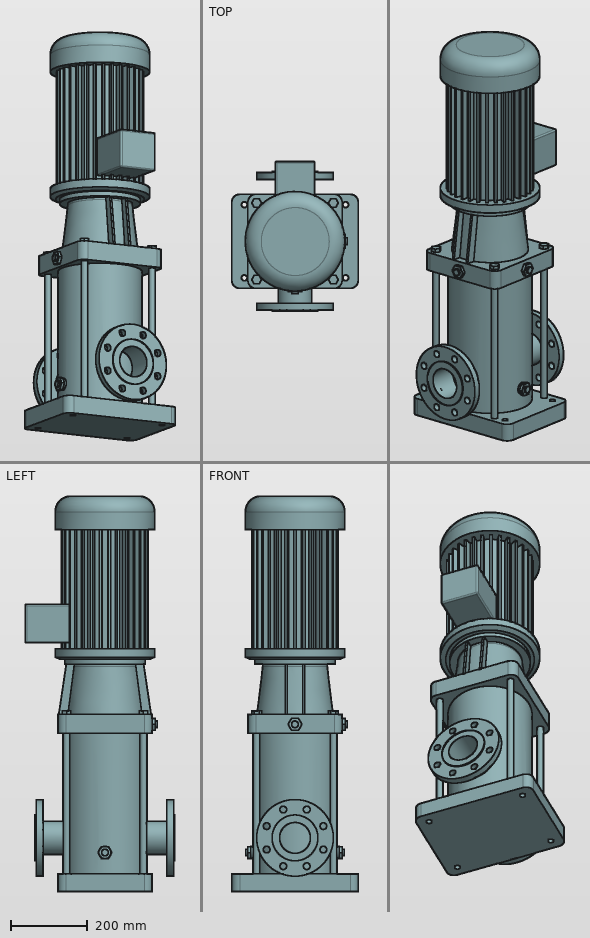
import cadquery as cq

total_height = 1031.0
base_height = 46.0
head_bottom = 412.0
head_top = 462.0
lantern_top = 593.0
motor_flange_bottom = 605.0
motor_flange_bevel_top = 611.0
motor_flange_top = 633.0
cap_bottom = 943.0

base_length = 330.0
plate_width = 245.0
plate_corner_radius = 21.0
base_hole_diameter = 14.0
base_hole_spacing_x = 264.0
base_hole_spacing_y = 191.0

hexagon_sides = 6
tube_diameter = 220.0
tie_rod_diameter = 18.0
tie_rod_spacing = 200.0
bolt_head_corners = 26.0
bolt_head_height = 9.0

port_height = 140.0
port_reach = 182.0
pipe_diameter = 88.0
bore_diameter = 80.0
flange_diameter = 200.0
flange_thickness = 19.0
raised_face_diameter = 120.0
raised_face_height = 3.0
flange_hole_count = 8
flange_hole_diameter = 18.0
flange_hole_circle = 160.0

plug_corners = 36.0
plug_hex_length = 8.8
plug_tip_diameter = 18.0
plug_tip_length = 5.0
plug_neck_diameter = 32.0
plug_neck_length = 5.0
plug_root_depth = 10.0
drain_plug_height = 102.0
vent_plug_height = 436.0

lantern_bottom_radius = 100.0
lantern_top_radius = 85.0
lantern_collar_height = 5.0
lantern_rib_thickness = 5.7
lantern_rib_offset = 23.2
lantern_rib_bottom_reach = 121.0
lantern_rib_top_reach = 101.0
spigot_diameter = 210.0

motor_flange_diameter = 260.0
motor_flange_bevel = 14.0
motor_core_radius = 96.0
fin_tip_radius = 113.0
fin_thickness = 6.0
fin_count = 30
cap_edge_radius = 41.0

box_width = 103.0
box_bottom = 648.0
box_height = 101.0
box_reach = 208.0
box_edge_radius = 4.0


def cylinder(diameter, bottom, top):
    return cq.Workplane("XY").workplane(offset=bottom).circle(diameter / 2).extrude(top - bottom)


def rounded_plate(length, bottom, top):
    plate = cq.Workplane("XY").workplane(offset=bottom).rect(length, plate_width).extrude(top - bottom)
    return plate.edges("|Z").fillet(plate_corner_radius)


def make_base():
    base = rounded_plate(base_length, 0, base_height)
    holes = (
        cq.Workplane("XY")
        .rect(base_hole_spacing_x, base_hole_spacing_y, forConstruction=True)
        .vertices()
        .circle(base_hole_diameter / 2)
        .extrude(base_height)
    )
    return base.cut(holes)


def make_tie_rods():
    def corners(height):
        plane = cq.Workplane("XY").workplane(offset=height)
        return plane.rect(tie_rod_spacing, tie_rod_spacing, forConstruction=True).vertices()

    rods = corners(base_height).circle(tie_rod_diameter / 2).extrude(head_bottom - base_height)
    bolt_heads = corners(head_top).polygon(hexagon_sides, bolt_head_corners).extrude(bolt_head_height)
    return rods.union(bolt_heads)


def make_port():
    """Port on the -Y side: a pipe from the pump axis with a drilled flange and a raised face."""

    def disc(diameter, reach, length):
        plane = cq.Workplane("XZ", origin=(0, -reach, port_height))
        return plane.circle(diameter / 2).extrude(-length)

    flange_reach = port_reach - raised_face_height
    hole_pattern = (
        cq.Workplane("XZ", origin=(0, -flange_reach, port_height))
        .polarArray(flange_hole_circle / 2, 180 / flange_hole_count, 360, flange_hole_count)
        .circle(flange_hole_diameter / 2)
        .extrude(-flange_thickness)
    )
    port = disc(pipe_diameter, port_reach, port_reach)
    port = port.union(disc(flange_diameter, flange_reach, flange_thickness).cut(hole_pattern))
    port = port.union(disc(raised_face_diameter, port_reach, raised_face_height))
    return port.cut(disc(bore_diameter, port_reach, port_reach))


def make_plug(seat, height, angle):
    """Plug pointing along +X with its hexagon starting at x = seat, then turned about Z.

    Its round neck reaches back from the hexagon and ends inside the body that carries it.
    """
    def face(x):
        return cq.Workplane("YZ", origin=(x, 0, height))

    hex_end = seat + plug_hex_length
    plug = face(seat - plug_root_depth).circle(plug_neck_diameter / 2).extrude(plug_root_depth)
    plug = plug.union(face(seat).polygon(hexagon_sides, plug_corners).extrude(plug_hex_length))
    plug = plug.union(face(hex_end).circle(plug_tip_diameter / 2).extrude(plug_tip_length))
    return plug.rotate((0, 0, 0), (0, 0, 1), angle)


def make_lantern():
    collar_bottom = lantern_top - lantern_collar_height
    cone = (
        cq.Workplane("XY")
        .workplane(offset=head_top)
        .circle(lantern_bottom_radius)
        .workplane(offset=collar_bottom - head_top)
        .circle(lantern_top_radius)
        .loft(ruled=True)
    )
    lantern = cone.union(cylinder(2 * lantern_top_radius, collar_bottom, lantern_top))
    web = (
        cq.Workplane("YZ")
        .moveTo(-lantern_rib_bottom_reach, head_top)
        .lineTo(lantern_rib_bottom_reach, head_top)
        .lineTo(lantern_rib_top_reach, lantern_top)
        .lineTo(-lantern_rib_top_reach, lantern_top)
        .close()
        .extrude(lantern_rib_thickness / 2, both=True)
    )
    for side in (-1, 1):
        lantern = lantern.union(web.translate((side * lantern_rib_offset, 0, 0)))
    return lantern.union(cylinder(spigot_diameter, lantern_top, motor_flange_bottom))


def make_motor():
    flange_radius = motor_flange_diameter / 2
    flange = (
        cq.Workplane("XZ")
        .moveTo(0, motor_flange_bottom)
        .lineTo(flange_radius - motor_flange_bevel, motor_flange_bottom)
        .lineTo(flange_radius, motor_flange_bevel_top)
        .lineTo(flange_radius, motor_flange_top)
        .lineTo(0, motor_flange_top)
        .close()
        .revolve(360, (0, 0), (0, 1))
    )
    core = cylinder(2 * motor_core_radius, motor_flange_top, cap_bottom)
    fins = (
        cq.Workplane("XY")
        .workplane(offset=motor_flange_top)
        .polarArray(fin_tip_radius / 2, -90, 360, fin_count)
        .rect(fin_tip_radius, fin_thickness)
        .extrude(cap_bottom - motor_flange_top)
    )
    cap = cylinder(motor_flange_diameter, cap_bottom, total_height)
    cap = cap.faces(">Z").edges().fillet(cap_edge_radius)
    return flange.union(core).union(fins).union(cap)


def make_terminal_box():
    box = cq.Workplane("XY").box(box_width, box_reach, box_height, centered=(True, False, False))
    box = box.faces(">Y or <X or >X").edges("not <Y").fillet(box_edge_radius)
    return box.translate((0, 0, box_bottom))


tube_radius = tube_diameter / 2
ports = make_port()
ports = ports.union(ports.mirror("XZ"))

result = ports.union(cylinder(tube_diameter, base_height, head_bottom))
result = result.union(make_base())
result = result.union(rounded_plate(plate_width, head_bottom, head_top))
result = result.union(make_tie_rods())
for angle in (0, 180):
    result = result.union(make_plug(tube_radius + plug_neck_length, drain_plug_height, angle))
for angle in (0, -90):
    result = result.union(make_plug(plate_width / 2, vent_plug_height, angle))
result = result.union(make_lantern())
result = result.union(make_motor())
result = result.union(make_terminal_box())